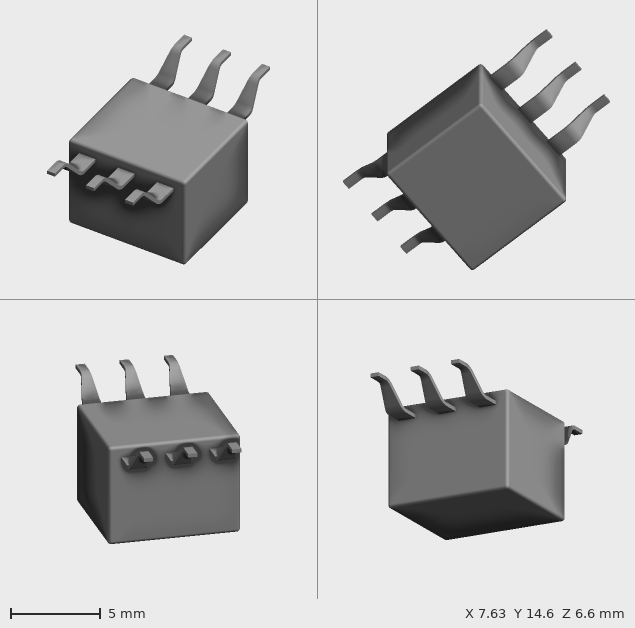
import cadquery as cq
import math

body_width = 7.63
body_depth = 6.85
body_height = 5.85
body_edge_radius = 0.19

overall_depth = 14.61
overall_height = 6.6
lead_count = 3
lead_pitch = 2.54
lead_thickness = 0.22
lead_step = 1.4
foot_length = 0.89
foot_width = 0.53
shoulder_width = 1.07
bend_inner_radius = 0.53
bend_angle = 49.0

bend_outer_radius = bend_inner_radius + lead_thickness
tip_y = overall_depth / 2
body_face_y = body_depth / 2
foot_top = overall_height
foot_bottom = foot_top - lead_thickness
shoulder_top = foot_top - lead_step
shoulder_bottom = shoulder_top - lead_thickness

slope = math.radians(bend_angle)
half_slope = slope / 2
radii_sum = bend_outer_radius + bend_inner_radius
ramp_rise = lead_step - radii_sum * (1 - math.cos(slope))
bend_spacing_y = radii_sum * math.sin(slope) + ramp_rise / math.tan(slope)

foot_bend_y = tip_y - foot_length
foot_bend_z = foot_top - bend_outer_radius
shoulder_bend_y = foot_bend_y - bend_spacing_y
shoulder_bend_z = shoulder_top + bend_inner_radius


def foot_bend_point(radius, angle):
    """Point on the bend next to the foot, turned by angle away from the foot."""
    return (foot_bend_y - radius * math.sin(angle), foot_bend_z + radius * math.cos(angle))


def shoulder_bend_point(radius, angle):
    """Point on the bend next to the shoulder, turned by angle away from the shoulder."""
    return (shoulder_bend_y + radius * math.sin(angle), shoulder_bend_z - radius * math.cos(angle))


def make_bent_strip():
    """Foot, ramp and shoulder as one bent strip of full shoulder width."""
    return (
        cq.Workplane("YZ")
        .moveTo(tip_y, foot_top)
        .lineTo(*foot_bend_point(bend_outer_radius, 0))
        .threePointArc(
            foot_bend_point(bend_outer_radius, half_slope),
            foot_bend_point(bend_outer_radius, slope),
        )
        .lineTo(*shoulder_bend_point(bend_inner_radius, slope))
        .threePointArc(
            shoulder_bend_point(bend_inner_radius, half_slope),
            shoulder_bend_point(bend_inner_radius, 0),
        )
        .lineTo(body_face_y, shoulder_top)
        .lineTo(body_face_y, shoulder_bottom)
        .lineTo(*shoulder_bend_point(bend_outer_radius, 0))
        .threePointArc(
            shoulder_bend_point(bend_outer_radius, half_slope),
            shoulder_bend_point(bend_outer_radius, slope),
        )
        .lineTo(*foot_bend_point(bend_inner_radius, slope))
        .threePointArc(
            foot_bend_point(bend_inner_radius, half_slope),
            foot_bend_point(bend_inner_radius, 0),
        )
        .lineTo(tip_y, foot_bottom)
        .close()
        .extrude(shoulder_width / 2, both=True)
    )


def make_width_outline():
    """Prism that narrows the strip from the middle of one bend to the middle of the other.

    It is tilted by half the slope, so the taper starts and ends square across each bend.
    """
    taper_length = (
        (foot_bend_y - shoulder_bend_y) * math.cos(half_slope)
        + (foot_bend_z - shoulder_bend_z) * math.sin(half_slope)
    )
    reach = tip_y
    tilted_plane = cq.Plane(
        origin=(0, shoulder_bend_y, shoulder_bend_z),
        xDir=(1, 0, 0),
        normal=(0, -math.sin(half_slope), math.cos(half_slope)),
    )
    return (
        cq.Workplane(tilted_plane)
        .moveTo(0, -reach)
        .lineTo(shoulder_width / 2, -reach)
        .lineTo(shoulder_width / 2, 0)
        .lineTo(foot_width / 2, taper_length)
        .lineTo(foot_width / 2, reach)
        .lineTo(0, reach)
        .mirrorY()
        .extrude(reach, both=True)
    )


def make_body():
    block = cq.Workplane("XY").box(body_width, body_depth, body_height, centered=(True, True, False))
    return block.edges().fillet(body_edge_radius)


result = make_body()
lead = make_bent_strip().intersect(make_width_outline())
opposite_lead = lead.mirror("XZ")
for index in range(lead_count):
    lead_x = (index - (lead_count - 1) / 2) * lead_pitch
    result = result.union(lead.translate((lead_x, 0, 0)))
    result = result.union(opposite_lead.translate((lead_x, 0, 0)))